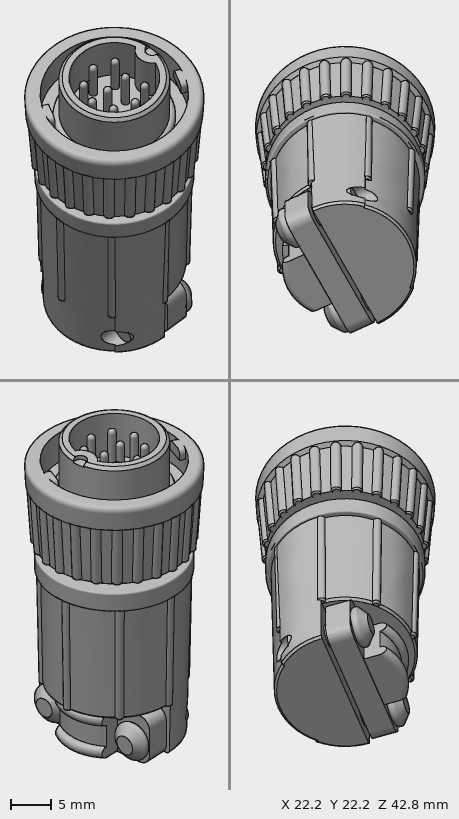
import cadquery as cq
import math

clamp_gap_top = 7.1
collar_bottom = 23.5
collar_top = 26.2
ring_bottom = 27.7
knurl_top = 36.3
ring_top = 39.6
insert_top = 42.8
ring_floor = 35.3
neck_top = 36.1
bore_floor = 36.5
pin_tip = 41.7

flank_radius_low = 8.98
flank_radius_high = 9.58
slim_radius_low = 8.8
slim_radius_high = 9.2
body_edge = 0.3
front_half_angle = 47
collar_radius = 9.86
collar_edge = 0.25

rib_count = 8
rib_radius = 0.57
rib_crest_low = 9.34
rib_crest_high = 9.66
rib_end_chamfer = 0.25

neck_radius = 7.61
neck_round = 0.75
ring_radius = 11.11
band_radius_low = 11.0
ring_round = 0.8
ring_bore = 9.17
knurl_count = 24
knurl_turn = -2.2
knurl_radius = 0.7
knurl_depth = 0.5
knurl_crest_low = 10.34
knurl_crest_high = 10.88
knurl_shoulder = 0.35
knurl_edge = 0.2

lug_count = 2
lug_angle = 65.4
lug_width = 2.9
lug_inner = 8.25
lug_height = 1.5
lug_round = 0.7

insert_radius = 6.87
insert_chamfer = 0.42
bore_radius = 5.6
key_radius = 2.13
key_groove_radius = 0.9
key_groove_depth = 0.6
key_center = 6.45
pin_radius = 0.53
pin_circle = 3.77
pin_circle_places = 8
key_place = 2
inner_pin_ys = (1.9, -1.12)

clamp_half_length = 9.0
clamp_front = 0.57
clamp_back = 3.76
clamp_height = 6.82
clamp_round = 1.6
saddle_half_width = 3.8
saddle_side_y = 6.73
saddle_crest_y = 7.9
saddle_bottom = 0.15
saddle_top = 6.5
saddle_rib_width = 1.65
saddle_groove_depth = 0.85

screw_x = 6.58
screw_z = 3.0
screw_radius = 1.4
screw_end_y = -4.8
head_base_radius = 2.3
head_radius = 2.6
head_belly = 0.55
head_shoulder = 1.05
head_top_radius = 1.3
head_height = 1.9

OVERLAP = 0.3
FAR = 15.0
HAIR = 0.02


def cone(low_radius, high_radius, bottom, top):
    """Solid of revolution about Z with a straight tapered side."""
    outline = [(0, bottom), (low_radius, bottom), (high_radius, top), (0, top)]
    return cq.Workplane("XZ").polyline(outline).close().revolve(360, (0, 0), (0, 1))


def disc(radius, bottom, top, x=0, y=0):
    return cq.Workplane("XY", origin=(x, y, bottom)).circle(radius).extrude(top - bottom)


def tilted_rod(radius, crest_low, crest_high, bottom, top):
    """Rod on the +X side whose outermost line runs from crest_low up to crest_high."""
    start = cq.Vector(crest_low - radius, 0, bottom)
    axis = cq.Vector(crest_high - crest_low, 0, top - bottom)
    plane = cq.Plane(origin=start, xDir=(0, 1, 0), normal=axis)
    return cq.Workplane(plane).circle(radius).extrude(axis.Length)


def around_z(shape, count):
    """Copies of shape spread evenly round the Z axis."""
    return [shape.rotate((0, 0, 0), (0, 0, 1), 360 * i / count) for i in range(count)]


def join(base, parts):
    for part in parts:
        base = base.union(part)
    return base


def half_space(side):
    """Block filling the back (side = 1) or front (side = -1) of the XZ plane."""
    height = collar_bottom + OVERLAP
    block = cq.Workplane("XY").box(2 * FAR, FAR, height, centered=(True, False, False))
    return block if side > 0 else block.mirror("XZ")


def front_sector():
    """Wedge with its tip on the Z axis, opening toward -Y."""
    half_width = FAR * math.tan(math.radians(front_half_angle))
    wedge = [(0, 0), (half_width, -FAR), (-half_width, -FAR)]
    return cq.Workplane("XY").polyline(wedge).close().extrude(collar_bottom + OVERLAP)


def slim_radius_at(z):
    return slim_radius_low + (slim_radius_high - slim_radius_low) * z / collar_bottom


def body():
    top = collar_bottom
    flanks = cone(flank_radius_low, flank_radius_high, 0, top).faces("<Z").chamfer(body_edge)
    slim = cone(slim_radius_low, slim_radius_high, 0, top).faces("<Z").chamfer(body_edge)
    sector = front_sector()
    front = flanks.intersect(half_space(-1)).cut(sector).union(slim.intersect(sector))

    back = cone(slim_radius_at(clamp_gap_top), slim_radius_high, clamp_gap_top, top)
    back = back.faces("<Z").chamfer(body_edge).intersect(half_space(1))

    rib = tilted_rod(rib_radius, rib_crest_low, rib_crest_high, clamp_gap_top, top + OVERLAP)
    rib = rib.faces("<Z").chamfer(rib_end_chamfer)
    return join(front.union(back), around_z(rib, rib_count))


def collar():
    return disc(collar_radius, collar_bottom, collar_top).edges().fillet(collar_edge)


def neck():
    tube = disc(neck_radius, collar_top - OVERLAP, neck_top)
    return tube.faces(">Z").edges().fillet(neck_round)


def ring():
    base_low = knurl_crest_low - knurl_depth
    base_high = knurl_crest_high - knurl_depth
    shoulder = knurl_top - knurl_shoulder
    outline = [
        (0, ring_bottom),
        (base_low, ring_bottom),
        (base_high, shoulder),
        (band_radius_low, knurl_top),
        (ring_radius, ring_top - ring_round),
        (ring_radius, ring_top),
        (0, ring_top),
    ]
    blank = cq.Workplane("XZ").polyline(outline).close().revolve(360, (0, 0), (0, 1))
    blank = blank.faces(">Z").edges().fillet(ring_round - HAIR)
    knurl = tilted_rod(knurl_radius, knurl_crest_low, knurl_crest_high, ring_bottom, knurl_top)
    knurl = knurl.faces("<Z").chamfer(knurl_edge)
    knurl = knurl.rotate((0, 0, 0), (0, 0, 1), knurl_turn)
    blank = join(blank, around_z(knurl, knurl_count))
    return blank.cut(disc(ring_bore, ring_floor, ring_top))


def bayonet_lugs():
    length = ring_bore + OVERLAP - lug_inner
    lug = cq.Workplane("XY").box(length, lug_width, lug_height, centered=(False, True, False))
    lug = lug.edges("|X and >Z").fillet(lug_round)
    lug = lug.translate((lug_inner, 0, ring_top - lug_height))
    lug = lug.rotate((0, 0, 0), (0, 0, 1), lug_angle)
    return around_z(lug, lug_count)


def insert():
    plug = disc(insert_radius, ring_floor, insert_top).faces(">Z").chamfer(insert_chamfer)
    bore = disc(bore_radius, bore_floor, insert_top)
    bore = bore.cut(disc(key_radius, bore_floor, insert_top, y=key_center))
    groove = disc(key_groove_radius, insert_top - key_groove_depth, insert_top, y=key_center)
    return plug.cut(bore).cut(groove)


def pins():
    places = [(0, y) for y in inner_pin_ys]
    for i in range(pin_circle_places):
        if i != key_place:
            angle = 2 * math.pi * i / pin_circle_places
            places.append((pin_circle * math.cos(angle), pin_circle * math.sin(angle)))
    pin = disc(pin_radius, bore_floor - OVERLAP, pin_tip - pin_radius)
    pin = pin.union(cq.Workplane("XY").sphere(pin_radius).translate((0, 0, pin_tip - pin_radius)))
    return [pin.translate((x, y, 0)) for x, y in places]


def saddle_block(inset, bottom, top):
    """Arched block of the clamp, with its arch lowered by inset."""
    return (
        cq.Workplane("XY", origin=(0, 0, bottom))
        .moveTo(-saddle_half_width, clamp_back - OVERLAP)
        .lineTo(-saddle_half_width, saddle_side_y - inset)
        .threePointArc((0, saddle_crest_y - inset), (saddle_half_width, saddle_side_y - inset))
        .lineTo(saddle_half_width, clamp_back - OVERLAP)
        .close()
        .extrude(top - bottom)
    )


def saddle_rib(bottom):
    rib = saddle_block(0, bottom, bottom + saddle_rib_width)
    return rib.edges("%CIRCLE").fillet(saddle_rib_width / 2 - HAIR)


def clamp():
    bar = cq.Workplane("XY", origin=(0, clamp_front, 0)).box(
        2 * clamp_half_length, clamp_back - clamp_front, clamp_height, centered=(True, False, False)
    )
    bar = bar.edges("|Y").fillet(clamp_round)
    rib_height = saddle_rib_width / 2
    floor = saddle_block(saddle_groove_depth, saddle_bottom + rib_height, saddle_top - rib_height)
    return join(bar, [floor, saddle_rib(saddle_bottom), saddle_rib(saddle_top - saddle_rib_width)])


def screw():
    """Screw along Y with a rounded head seated on the back of the clamp."""
    head_y = clamp_back
    shoulder_y = head_y + head_shoulder
    outline = (
        cq.Workplane("XY")
        .moveTo(0, screw_end_y)
        .lineTo(screw_radius, screw_end_y)
        .lineTo(screw_radius, head_y)
        .lineTo(head_base_radius, head_y)
        .threePointArc((head_radius, head_y + head_belly), (head_base_radius, shoulder_y))
        .lineTo(head_top_radius, head_y + head_height)
        .lineTo(0, head_y + head_height)
        .close()
    )
    return outline.revolve(360, (0, 0), (0, 1))


def screw_hole():
    hole = cq.Workplane("XZ").circle(screw_radius).extrude(FAR)
    return hole.translate((0, screw_end_y, 0))


result = join(body(), [collar(), neck(), ring(), insert(), clamp()])
result = join(result, bayonet_lugs() + pins())
for x in (-screw_x, screw_x):
    result = result.cut(screw_hole().translate((x, 0, screw_z)))
    result = result.union(screw().translate((x, 0, screw_z)))